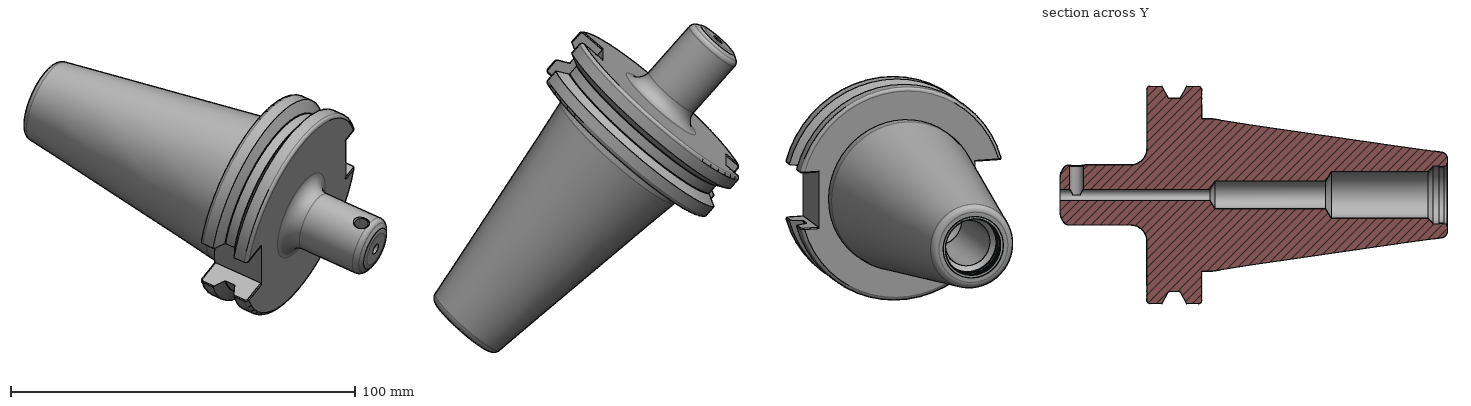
import cadquery as cq
import math

total_length = 112.7
gauge_x = 68.4
flange_start = 71.5
flange_width = 16.0
flange_end = flange_start + flange_width

gauge_radius = 44.4 / 2
taper_ratio = 7 / 24
small_end_radius = gauge_radius - gauge_x * taper_ratio / 2
small_end_round = 2.0

flange_radius = 63.5 / 2
flange_round = 1.0
groove_mouth_width = 7.1
groove_depth = 3.6
groove_flank_angle = 62
groove_corner_round = 0.2

slot_width = 16.5
front_slot_floor = 22.3
back_slot_floor = 25.1
slot_chamfer = 0.3

shank_radius = 17.6 / 2
shank_root_round = 4.6
tip_cone_angle = 60
tip_cone_length = 0.8
tip_face_length = 0.2
tip_face_radius = 10.0 / 2
tip_round = 1.9

recess_radius = 9.1
recess_depth = 0.2
pilot_radius = 16.8 / 2
pilot_end = 1.0
counterbore_radius = 16.3 / 2
counterbore_end = 2.5
undercut_radius = 16.8 / 2
undercut_end = 4.3
thread_radius = 13.5 / 2
thread_cone_length = counterbore_radius - thread_radius
thread_end = 33.8
drill_radius = 8.0 / 2
drill_end = 67.6
coolant_radius = 3.2 / 2
drill_point_angle = 59

screw_hole_x = 107.9
screw_hole_radius = 4.0 / 2
screw_hole_chamfer = 0.5


def revolve_about_x(profile):
    return profile.close().revolve(360, (0, 0, 0), (1, 0, 0))


def ring_edges(body, x, radius):
    """Circular edges around the X axis at one position and radius."""
    tolerance = 0.01
    return body.edges("%CIRCLE").filter(
        lambda edge: abs(edge.Center().x - x) < tolerance and abs(edge.radius() - radius) < tolerance
    )


def make_taper():
    body = revolve_about_x(
        cq.Workplane("XY")
        .lineTo(0, small_end_radius)
        .lineTo(gauge_x, gauge_radius)
        .lineTo(flange_start, gauge_radius)
        .lineTo(flange_start, 0)
    )
    return ring_edges(body, 0, small_end_radius).fillet(small_end_round)


def make_flange_disc():
    disc = (
        cq.Workplane("YZ", origin=(flange_start, 0, 0))
        .circle(flange_radius)
        .extrude(flange_width)
    )
    return disc.faces("<X or >X").edges().fillet(flange_round)


def cut_drive_slot(flange, side, floor_y):
    """Cut one slot, on side -1 or +1 of Y, and chamfer the rims of its two walls."""
    slot_center_x = flange_start + flange_width / 2
    slot_depth = flange_radius - floor_y
    slot_center_y = side * (floor_y + slot_depth / 2)
    slot = cq.Workplane("XY").box(flange_width, slot_depth, slot_width)
    flange = flange.cut(slot.translate((slot_center_x, slot_center_y, 0)))
    for wall_side in (-1, 1):
        wall_center = (slot_center_x, slot_center_y, wall_side * slot_width / 2)
        wall = flange.faces(cq.selectors.NearestToPointSelector(wall_center))
        inner_edge = "<Y" if side > 0 else ">Y"
        flange = wall.edges(f"not {inner_edge}").chamfer(slot_chamfer)
    return flange


def make_groove_ring():
    """Ring of material removed by the V-groove, with rounded corners at its floor."""
    flank_length = groove_depth / math.tan(math.radians(groove_flank_angle))
    groove_start = flange_start + (flange_width - groove_mouth_width) / 2
    groove_end = groove_start + groove_mouth_width
    floor_start = groove_start + flank_length
    floor_end = groove_end - flank_length
    floor_radius = flange_radius - groove_depth
    ring = revolve_about_x(
        cq.Workplane("XY")
        .moveTo(groove_start, flange_radius)
        .lineTo(floor_start, floor_radius)
        .lineTo(floor_end, floor_radius)
        .lineTo(groove_end, flange_radius)
    )
    for x in (floor_start, floor_end):
        ring = ring_edges(ring, x, floor_radius).fillet(groove_corner_round)
    return ring


def make_shank():
    cone_end = total_length - tip_face_length
    tip_start = cone_end - tip_cone_length
    angle = math.radians(tip_cone_angle)
    round_start = tip_start - tip_round * math.sin(angle)
    round_center_radius = shank_radius - tip_round
    cone_radius = round_center_radius + tip_round * math.cos(angle)
    cone_end_radius = cone_radius - tip_cone_length * math.tan(angle)
    round_middle = (
        round_start + tip_round * math.sin(angle / 2),
        round_center_radius + tip_round * math.cos(angle / 2),
    )
    root_middle = (
        flange_end + shank_root_round * (1 - math.sqrt(0.5)),
        shank_radius + shank_root_round * (1 - math.sqrt(0.5)),
    )
    return revolve_about_x(
        cq.Workplane("XY")
        .moveTo(flange_end, 0)
        .lineTo(flange_end, shank_radius + shank_root_round)
        .threePointArc(root_middle, (flange_end + shank_root_round, shank_radius))
        .lineTo(round_start, shank_radius)
        .threePointArc(round_middle, (tip_start, cone_radius))
        .lineTo(cone_end, cone_end_radius)
        .lineTo(total_length, tip_face_radius)
        .lineTo(total_length, 0)
    )


def make_bore():
    drill_slope = math.tan(math.radians(drill_point_angle))
    thread_point_length = (thread_radius - drill_radius) / drill_slope
    drill_point_length = (drill_radius - coolant_radius) / drill_slope
    return revolve_about_x(
        cq.Workplane("XY")
        .lineTo(0, recess_radius)
        .lineTo(recess_depth, recess_radius)
        .lineTo(recess_depth, pilot_radius)
        .lineTo(pilot_end, pilot_radius)
        .lineTo(pilot_end, counterbore_radius)
        .lineTo(counterbore_end, counterbore_radius)
        .lineTo(counterbore_end, undercut_radius)
        .lineTo(undercut_end, undercut_radius)
        .lineTo(undercut_end, counterbore_radius)
        .lineTo(undercut_end + thread_cone_length, thread_radius)
        .lineTo(thread_end, thread_radius)
        .lineTo(thread_end + thread_point_length, drill_radius)
        .lineTo(drill_end, drill_radius)
        .lineTo(drill_end + drill_point_length, coolant_radius)
        .lineTo(total_length, coolant_radius)
        .lineTo(total_length, 0)
    )


def make_screw_hole():
    """Chamfered hole from the top of the shank down to its axis."""
    return (
        cq.Workplane("XZ")
        .lineTo(screw_hole_radius, 0)
        .lineTo(screw_hole_radius, shank_radius - screw_hole_chamfer)
        .lineTo(screw_hole_radius + screw_hole_chamfer, shank_radius)
        .lineTo(0, shank_radius)
        .close()
        .revolve(360, (0, 0, 0), (0, 1, 0))
        .translate((screw_hole_x, 0, 0))
    )


flange = cut_drive_slot(make_flange_disc(), -1, front_slot_floor)
flange = cut_drive_slot(flange, 1, back_slot_floor)
flange = flange.cut(make_groove_ring())
result = make_taper().union(flange).union(make_shank())
result = result.cut(make_bore()).cut(make_screw_hole())